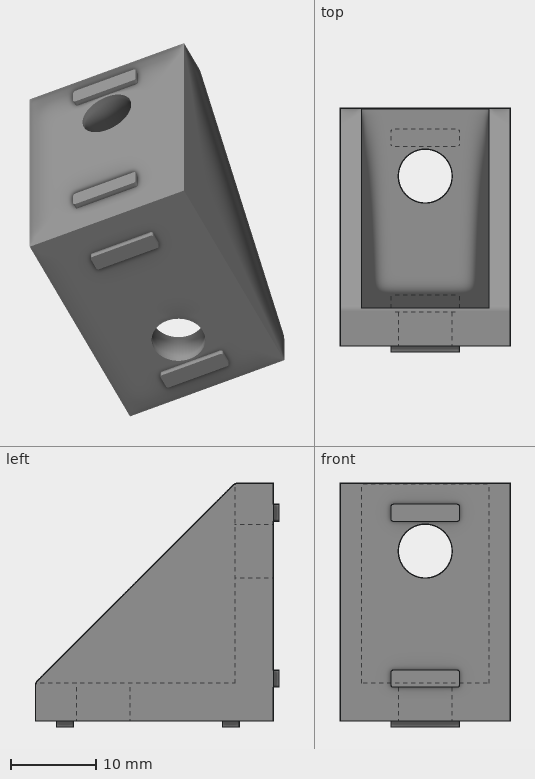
import cadquery as cq

width = 20.0
overall = 28.7
tab_height = 0.7
leg = overall - tab_height
plate = 4.5
gusset = 2.5
tip_radius = 1.0

hole_diameter = 6.3
hole_offset = 20.0

tab_length = 8.1
tab_width = 2.0
tab_corner_radius = 0.3
tab_offsets = (5.0, 24.5)


def make_body():
    """Solid wedge with rounded corners where the slope meets the plate tips."""
    outline = [(0, 0), (leg, 0), (leg, plate), (plate, leg), (0, leg)]
    wedge = cq.Workplane("YZ").polyline(outline).close().extrude(width / 2, both=True)
    slope_ends = wedge.faces(">(0, 1, 1)").edges("|X")
    return slope_ends.fillet(tip_radius)


def make_pocket():
    """Open space between the gussets and in front of both plates."""
    return cq.Workplane("XY").box(
        width - 2 * gusset, leg, leg, centered=(True, False, False)
    ).translate((0, plate, plate))


def make_floor_features():
    """Tabs below the floor and the bolt hole cutter through it."""
    tabs = (
        cq.Workplane("XY")
        .pushPoints([(0, offset) for offset in tab_offsets])
        .rect(tab_length, tab_width)
        .extrude(-tab_height)
        .edges("|Z")
        .fillet(tab_corner_radius)
    )
    hole = cq.Workplane("XY").center(0, hole_offset).circle(hole_diameter / 2).extrude(plate)
    return tabs, hole


def swap_y_and_z(shape):
    """Mirror across the plane Y = Z to carry floor features to the wall."""
    return shape.rotate((0, 0, 0), (1, 0, 0), 90).mirror("XZ")


floor_tabs, floor_hole = make_floor_features()
result = make_body().cut(make_pocket())
for tabs, hole in (
    (floor_tabs, floor_hole),
    (swap_y_and_z(floor_tabs), swap_y_and_z(floor_hole)),
):
    result = result.union(tabs).cut(hole)